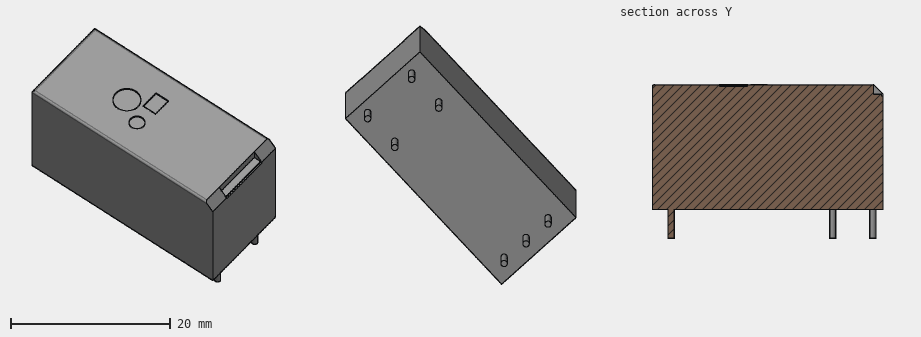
import cadquery as cq

body_length = 29.0
body_width = 12.7
body_height = 15.7
top_edge_radius = 0.3
end_chamfer = 1.2

pin_diameter = 0.8
pin_length = 3.6
pin_row_offset = 3.75
coil_pin_inset = 2.37
far_contact_inset = 1.3
contact_pitch = 5.04

recess_depth = 0.2
large_recess_diameter = 3.5
large_recess_x = -4.3
small_recess_diameter = 2.0
indicator_x = -1.1
small_recess_y = -2.0
window_length = 2.0
window_width = 2.6
window_y = 1.8

notch_width = 7.1
ledge_length = 0.2
ledge_drop = 0.2

end_x = body_length / 2
coil_pin_x = -end_x + coil_pin_inset
far_contact_x = end_x - far_contact_inset
near_contact_x = far_contact_x - contact_pitch
chamfer_start_x = end_x - end_chamfer
notch_floor_z = body_height - end_chamfer


def make_housing():
    """Block with three rounded top edges and a 45 degree chamfer on the +X end."""
    block = cq.Workplane("XY").box(
        body_length, body_width, body_height, centered=(True, True, False)
    )
    rounded = block.faces(">Z").edges("|X or <X").fillet(top_edge_radius)
    wedge = (
        cq.Workplane("XZ")
        .moveTo(chamfer_start_x, body_height)
        .lineTo(end_x, body_height)
        .lineTo(end_x, notch_floor_z)
        .close()
        .extrude(body_width / 2, both=True)
    )
    return rounded.cut(wedge)


def make_end_notch():
    """Stepped profile: a flat floor level with the chamfer foot, then a lower ledge."""
    ledge_x = end_x - ledge_length
    ledge_z = notch_floor_z - ledge_drop
    return (
        cq.Workplane("XZ")
        .moveTo(chamfer_start_x, body_height)
        .lineTo(chamfer_start_x, notch_floor_z)
        .lineTo(ledge_x, notch_floor_z)
        .lineTo(ledge_x, ledge_z)
        .lineTo(end_x, ledge_z)
        .lineTo(end_x, body_height)
        .close()
        .extrude(notch_width / 2, both=True)
    )


def recess_floor(x, y):
    """Work plane on a recess floor, with its origin at the given place."""
    return cq.Workplane("XY", origin=(x, y, body_height - recess_depth))


def make_top_recesses():
    """Two round recesses and one rectangular window, all equally deep."""
    large_round = recess_floor(large_recess_x, 0).circle(large_recess_diameter / 2).extrude(recess_depth)
    small_round = (
        recess_floor(indicator_x, small_recess_y)
        .circle(small_recess_diameter / 2)
        .extrude(recess_depth)
    )
    window = recess_floor(indicator_x, window_y).rect(window_length, window_width).extrude(recess_depth)
    return large_round.union(small_round).union(window)


def make_pins():
    """Round pins hanging from the underside."""
    positions = [(coil_pin_x, 0)]
    for x in (coil_pin_x, near_contact_x, far_contact_x):
        for y in (-pin_row_offset, pin_row_offset):
            positions.append((x, y))
    return cq.Workplane("XY").pushPoints(positions).circle(pin_diameter / 2).extrude(-pin_length)


housing = make_housing().cut(make_end_notch()).cut(make_top_recesses())
result = housing.union(make_pins())